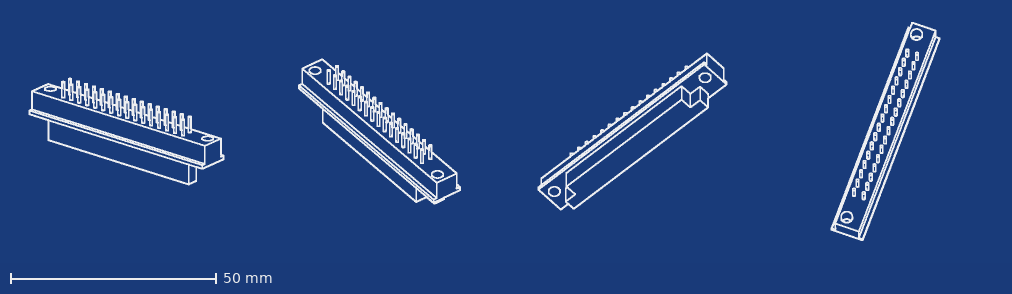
import cadquery as cq

body_length = 55
body_width = 6.1
body_height = 5.8
flange_width = 8.1
flange_height = 1.0

plug_length = 44.55
plug_height = 5.8
plug_step_y = -0.1
short_half_setback = 3.2

hole_diameter = 2.8
hole_spacing = 50.0
hole_y = 1.0

pins_per_row = 16
pin_row_length = 38.1
pin_row_spacing = 2.55
pin_diameter = 0.65
pin_height = 4.05


def make_block(length, y_min, y_max, z_min, height):
    """Block centred on X, between two Y positions, rising from z_min."""
    block = cq.Workplane("XY").box(length, y_max - y_min, height, centered=(True, False, False))
    return block.translate((0, y_min, z_min))


def make_body():
    """Block and flange sharing a bottom face at Z = 0."""
    block = make_block(body_length, -body_width / 2, body_width / 2, 0, body_height)
    flange = make_block(body_length, -flange_width / 2, flange_width / 2, 0, flange_height)
    return block.union(flange)


def make_plug():
    """Long -Y half and a +Y half that is set back at both ends."""
    short_length = plug_length - 2 * short_half_setback
    long_half = make_block(plug_length, -body_width / 2, plug_step_y, -plug_height, plug_height)
    short_half = make_block(short_length, plug_step_y, body_width / 2, -plug_height, plug_height)
    return long_half.union(short_half)


def make_pins():
    """Both rows of round pins, standing on the top face of the body."""
    pin_pitch = pin_row_length / (pins_per_row - 1)
    return (
        cq.Workplane("XY", origin=(0, 0, body_height))
        .rarray(pin_pitch, pin_row_spacing, pins_per_row, 2)
        .circle(pin_diameter / 2)
        .extrude(pin_height)
    )


def make_mounting_holes():
    """Cylinders to cut through the full height of the body."""
    return (
        cq.Workplane("XY", origin=(0, hole_y, 0))
        .rarray(hole_spacing, 0.55, 2, 1)
        .circle(hole_diameter / 2)
        .extrude(body_height)
    )


result = make_body().cut(make_mounting_holes()).union(make_plug()).union(make_pins())